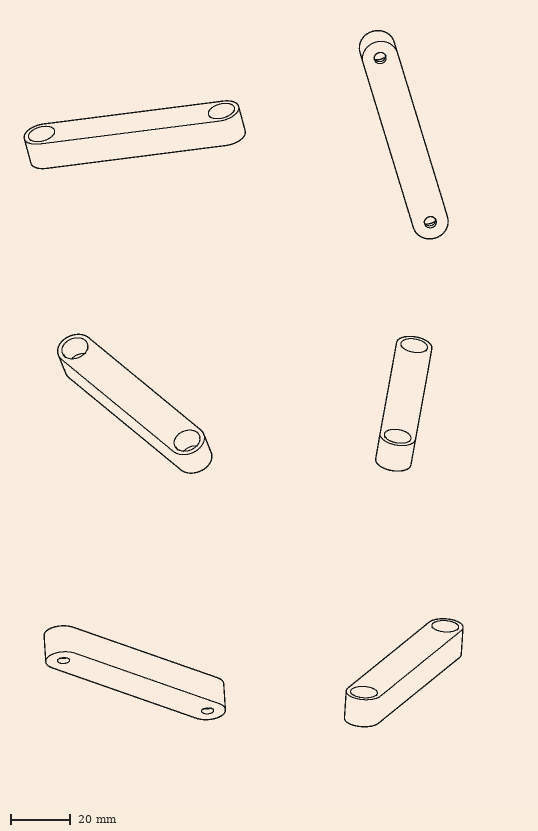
import cadquery as cq
import math

bar_width = 12.0
bar_thickness = 10.0
span_x = 39.0
span_y = 48.0
tilt_angle = 15.0

through_diameter = 4.0
counterbore_diameter = 8.4
counterbore_depth = 8.1
lead_in_diameter = 8.95
lead_in_depth = 1.0

hole_spacing = math.hypot(span_x, span_y)
bar_angle = math.degrees(math.atan2(span_y, span_x))
end_centers = [(-span_x / 2, -span_y / 2), (span_x / 2, span_y / 2)]


def make_bar():
    """Flat bar with full-radius ends, centred on the origin."""
    return (
        cq.Workplane("XY")
        .slot2D(hole_spacing + bar_width, bar_width, bar_angle)
        .extrude(bar_thickness / 2, both=True)
    )


def make_stepped_hole(center):
    """Cutter: through hole, counterbore from the top, tapered lead-in at its mouth."""
    top_face = cq.Workplane("XY", origin=(*center, bar_thickness / 2))
    through = top_face.circle(through_diameter / 2).extrude(-bar_thickness)
    counterbore = top_face.circle(counterbore_diameter / 2).extrude(-counterbore_depth)
    lead_in = (
        top_face.circle(lead_in_diameter / 2)
        .workplane(offset=-lead_in_depth)
        .circle(counterbore_diameter / 2)
        .loft()
    )
    return through.union(counterbore).union(lead_in)


bar = make_bar()
for end_center in end_centers:
    bar = bar.cut(make_stepped_hole(end_center))

result = bar.rotate((0, 0, 0), (1, 0, 0), tilt_angle)